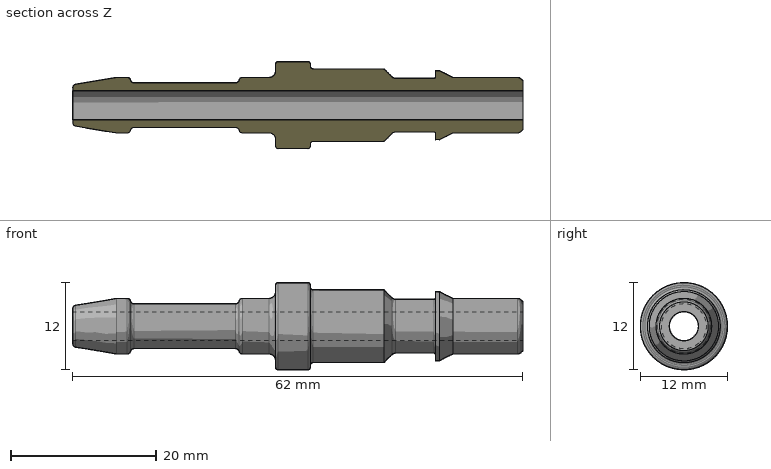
import cadquery as cq
import math

length = 62.0
bore_radius = 2.0

tube_radius = 3.85
hose_neck_radius = 3.1
collar_radius = 6.0
body_radius = 5.0
plug_neck_radius = 3.7
rib_radius = 4.8

edge_round = 0.5
tip_face_radius = 2.4
barb_angle = math.radians(9.5)
barb_crest_end = 7.5
step_start = 23.4

collar_start = 27.9
collar_end = 32.75
collar_round = 0.4
collar_hose_side_round = 0.85

slope_angle = math.radians(45)

body_end = 42.85
shoulder_root_round = 0.75

rib_start = 49.9
rib_root_round = 0.2
rib_crest_end = 50.45
rib_slope_end = 52.3

tip_chamfer = 0.5
tip_round = 0.75


def s_curve_length(height, radius):
    """Axial length of two equal tangent arcs that step between two cylinders."""
    return math.sqrt(4 * radius * height - height**2)


def line_to(profile, x, radius):
    """Straight edge to a point at the given place along the axis and radius."""
    return profile.lineTo(x, radius)


def arc_to(profile, x, radius):
    """Arc that leaves the previous edge tangentially."""
    return profile.tangentArcPoint((x, radius), relative=False)


def hose_tail(profile):
    """Rounded tip, conical barb, hose neck and the step up to the tube radius."""
    cone_start = edge_round * (1 - math.sin(barb_angle))
    cone_start_radius = tip_face_radius + edge_round * math.cos(barb_angle)
    barb_start = cone_start + (tube_radius - cone_start_radius) / math.tan(barb_angle)
    s_length = s_curve_length(tube_radius - hose_neck_radius, edge_round)
    middle_radius = (tube_radius + hose_neck_radius) / 2

    profile = line_to(profile, 0, tip_face_radius)
    profile = arc_to(profile, cone_start, cone_start_radius)
    profile = line_to(profile, barb_start, tube_radius)
    profile = line_to(profile, barb_crest_end, tube_radius)
    profile = arc_to(profile, barb_crest_end + s_length / 2, middle_radius)
    profile = arc_to(profile, barb_crest_end + s_length, hose_neck_radius)
    profile = line_to(profile, step_start - s_length, hose_neck_radius)
    profile = arc_to(profile, step_start - s_length / 2, middle_radius)
    return arc_to(profile, step_start, tube_radius)


def collar(profile):
    """Collar with rounded rims and root fillets on both sides."""
    profile = line_to(profile, collar_start - collar_hose_side_round, tube_radius)
    profile = arc_to(profile, collar_start, tube_radius + collar_hose_side_round)
    profile = line_to(profile, collar_start, collar_radius - collar_round)
    profile = arc_to(profile, collar_start + collar_round, collar_radius)
    profile = line_to(profile, collar_end - collar_round, collar_radius)
    profile = arc_to(profile, collar_end, collar_radius - collar_round)
    profile = line_to(profile, collar_end, body_radius + collar_round)
    return arc_to(profile, collar_end + collar_round, body_radius)


def body_shoulder(profile):
    """Body cylinder and its sloping shoulder, blended into the plug neck."""
    blend_start_radius = plug_neck_radius + shoulder_root_round * (1 - math.cos(slope_angle))
    blend_start = body_end + (body_radius - blend_start_radius) / math.tan(slope_angle)
    blend_end = blend_start + shoulder_root_round * math.sin(slope_angle)

    profile = line_to(profile, body_end, body_radius)
    profile = line_to(profile, blend_start, blend_start_radius)
    return arc_to(profile, blend_end, plug_neck_radius)


def latching_rib(profile):
    """Rib with a steep latching face and a slope towards the plug tip."""
    profile = line_to(profile, rib_start - rib_root_round, plug_neck_radius)
    profile = arc_to(profile, rib_start, plug_neck_radius + rib_root_round)
    profile = line_to(profile, rib_start, rib_radius)
    profile = line_to(profile, rib_crest_end, rib_radius)
    return line_to(profile, rib_slope_end, tube_radius)


def plug_tip(profile):
    """Plug cylinder, rounded edge and end chamfer."""
    round_start = length - tip_chamfer / math.tan(slope_angle) - tip_round * math.tan(slope_angle / 2)
    round_end = round_start + tip_round * math.sin(slope_angle)
    round_end_radius = tube_radius - tip_round * (1 - math.cos(slope_angle))

    profile = line_to(profile, round_start, tube_radius)
    profile = arc_to(profile, round_end, round_end_radius)
    profile = line_to(profile, length, tube_radius - tip_chamfer)
    return line_to(profile, length, bore_radius)


section = cq.Workplane("XY").moveTo(0, bore_radius)
for feature in (hose_tail, collar, body_shoulder, latching_rib, plug_tip):
    section = feature(section)

result = section.close().revolve(360, (0, 0, 0), (1, 0, 0))